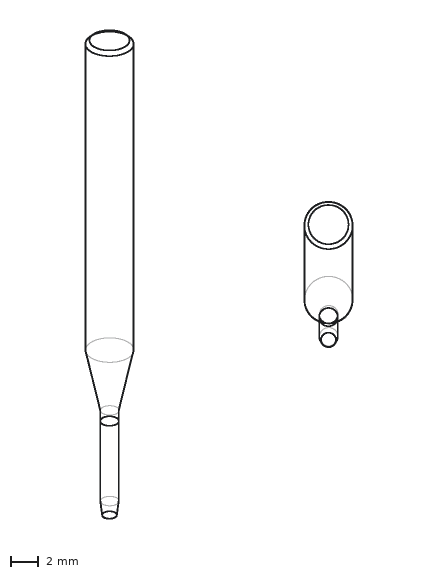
import cadquery as cq

total_length = 40.0
shank_diameter = 3.5
neck_diameter = 1.35
tip_diameter = 1.1

tip_taper_top = 1.2
body_joint = 7.9
cone_bottom = 8.85
cone_top = 13.9

end_chamfer = 0.3

shank_radius = shank_diameter / 2
neck_radius = neck_diameter / 2
tip_radius = tip_diameter / 2


def revolve_about_z(outline):
    """Turn a closed (radius, height) outline into a solid around the Z axis."""
    return cq.Workplane("XZ").polyline(outline).close().revolve(360, (0, 0), (0, 1))


def make_shank():
    """Chamfered cylindrical shank, narrowing through a cone to a short neck."""
    return revolve_about_z([
        (0, body_joint),
        (neck_radius, body_joint),
        (neck_radius, cone_bottom),
        (shank_radius, cone_top),
        (shank_radius, total_length - end_chamfer),
        (shank_radius - end_chamfer, total_length),
        (0, total_length),
    ])


def make_cutting_tip():
    """Slender cylinder below the shank with a tapered, flat end."""
    return revolve_about_z([
        (0, 0),
        (tip_radius, 0),
        (neck_radius, tip_taper_top),
        (neck_radius, body_joint),
        (0, body_joint),
    ])


shank = make_shank()
cutting_tip = make_cutting_tip()

result = cq.Compound.makeCompound([shank.val(), cutting_tip.val()])